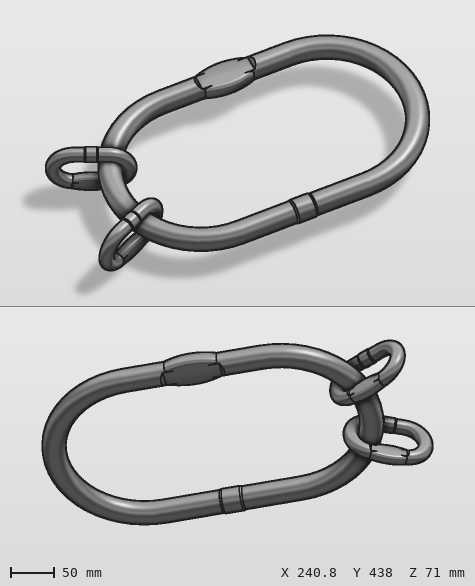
import cadquery as cq
import math


OVERALL_LENGTH = 438.0

MASTER_LINK = dict(
    rod_diameter=27.0,
    outer_width=234.0,
    straight_length=160.0,
    swelling_width=38.5,
    swelling_length=61.5,
    swelling_thickness=19.0,
    swelling_fillet=6.5,
    flat_length=66.0,
    bead_diameter=29.0,
    bead_length=26.3,
    bead_crest_length=21.5,
)

HANGING_LINK = dict(
    rod_diameter=16.5,
    outer_width=67.0,
    straight_length=37.0,
    swelling_width=23.0,
    swelling_length=42.0,
    swelling_thickness=13.0,
    swelling_fillet=5.0,
    flat_length=42.5,
    bead_diameter=18.0,
    bead_length=16.0,
    bead_crest_length=12.5,
)

HANGING_ANGLE = 25.0


def bend_radius(size):
    """Radius of the rod centre line in the two round ends."""
    return (size["outer_width"] - size["rod_diameter"]) / 2


def half_length(size):
    """Distance from the middle of a link to the outside of its round end."""
    return size["straight_length"] / 2 + bend_radius(size) + size["rod_diameter"] / 2


def make_rod(size):
    """Closed oval of round rod."""
    radius = bend_radius(size)
    half_straight = size["straight_length"] / 2
    centre_line = (
        cq.Workplane("XY")
        .moveTo(radius, -half_straight)
        .lineTo(radius, half_straight)
        .threePointArc((0, half_straight + radius), (-radius, half_straight))
        .lineTo(-radius, -half_straight)
        .threePointArc((0, -half_straight - radius), (radius, -half_straight))
        .close()
    )
    section = cq.Workplane("XZ", origin=(radius, -half_straight, 0)).circle(size["rod_diameter"] / 2)
    return section.sweep(centre_line)


def make_flat_cutter(size):
    """Trapezoid that planes the top of the -X leg flat, with end faces that slope out at 45 degrees."""
    flat_height = size["swelling_thickness"] / 2
    cut_top = size["rod_diameter"]
    half_flat = size["flat_length"] / 2
    half_top = half_flat + cut_top - flat_height
    width = size["swelling_width"]
    return (
        cq.Workplane("YZ", origin=(-bend_radius(size), 0, 0))
        .moveTo(-half_flat, flat_height)
        .lineTo(half_flat, flat_height)
        .lineTo(half_top, cut_top)
        .lineTo(-half_top, cut_top)
        .close()
        .extrude(width / 2, both=True)
    )


def make_swelling(size):
    """Flat-topped swelling whose bowed sides run out at the rod surface."""
    half_rod = size["rod_diameter"] / 2
    half_width = size["swelling_width"] / 2
    half_span = size["swelling_length"] / 2
    return (
        cq.Workplane("XY")
        .moveTo(-half_rod, -half_span)
        .threePointArc((-half_width, 0), (-half_rod, half_span))
        .lineTo(half_rod, half_span)
        .threePointArc((half_width, 0), (half_rod, -half_span))
        .close()
        .extrude(size["swelling_thickness"] / 2, both=True)
        .edges("%CIRCLE")
        .fillet(size["swelling_fillet"])
        .translate((-bend_radius(size), 0, 0))
    )


def make_weld_bead(size):
    """Raised ring around the +X leg, with a short cone on each side of its crest."""
    rod_radius = size["rod_diameter"] / 2
    bead_radius = size["bead_diameter"] / 2
    half_bead = size["bead_length"] / 2
    half_crest = size["bead_crest_length"] / 2
    return (
        cq.Workplane("XY")
        .moveTo(0, -half_bead)
        .lineTo(rod_radius, -half_bead)
        .lineTo(bead_radius, -half_crest)
        .lineTo(bead_radius, half_crest)
        .lineTo(rod_radius, half_bead)
        .lineTo(0, half_bead)
        .close()
        .revolve(360, (0, 0, 0), (0, 1, 0))
        .translate((bend_radius(size), 0, 0))
    )


def make_link(size):
    """One complete link, centred on the origin."""
    flat_cutter = make_flat_cutter(size)
    return (
        make_rod(size)
        .cut(flat_cutter)
        .cut(flat_cutter.mirror("XY"))
        .union(make_swelling(size))
        .union(make_weld_bead(size))
        .solids()
    )


def place_hanging_link(angle):
    """Hanging link stood upright, bead on top, and swung about the master link's -Y bend centre."""
    bend_centre_y = -MASTER_LINK["straight_length"] / 2
    rod_radius = HANGING_LINK["rod_diameter"] / 2
    tip_y = half_length(MASTER_LINK) - OVERALL_LENGTH
    tip_reach = (bend_centre_y - tip_y - rod_radius) / math.cos(math.radians(angle))
    link_reach = tip_reach - (half_length(HANGING_LINK) - rod_radius)
    return (
        make_link(HANGING_LINK)
        .rotate((0, 0, 0), (0, 1, 0), -90)
        .translate((0, bend_centre_y - link_reach, 0))
        .rotate((0, bend_centre_y, 0), (0, bend_centre_y, 1), angle)
    )


master_link = make_link(MASTER_LINK)
hanging_links = [place_hanging_link(side * HANGING_ANGLE) for side in (-1, 1)]

result = cq.Compound.makeCompound([master_link.val(), *[link.val() for link in hanging_links]])